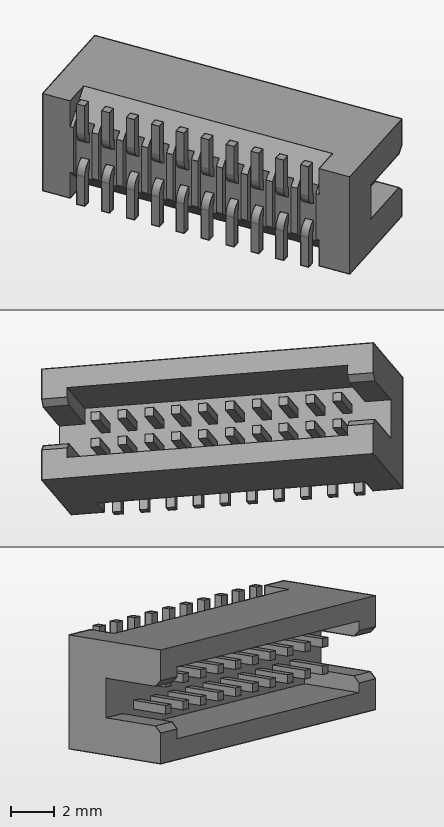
import cadquery as cq

HOUSING_LENGTH = 15.69
HOUSING_DEPTH = 5.4
HOUSING_HEIGHT = 5.33

PIN_COUNT = 10
PITCH = 1.27
PIN_ROW_SHIFT = -0.08
PIN_SIZE = 0.41
PIN_BEND_RADIUS = 0.7
PIN_FRONT_PROTRUSION = 0.2
PIN_TIP_SPAN = 5.5
PIN_REACH = 1.9

END_WALL = 1.21
CAVITY_WALL = 0.99

SLOT_HEIGHT = 1.85
SLOT_DEPTH = 3.22
SLOT_CHAMFER = 0.3

RECESS_LENGTH = PIN_COUNT * PITCH
RECESS_DEPTH = 1.4
RECESS_HEIGHT = 1.41

GROOVE_WIDTH = 0.94
GROOVE_DEPTH = 0.28

HALF_HEIGHT = HOUSING_HEIGHT / 2
SLOT_FLOOR_Y = HOUSING_DEPTH - SLOT_DEPTH
PIN_XS = [PIN_ROW_SHIFT + (i - (PIN_COUNT - 1) / 2) * PITCH for i in range(PIN_COUNT)]


def extrude_along_x(profile, length, center_x):
    """Extrude a closed YZ profile symmetrically about center_x."""
    return profile.extrude(length / 2, both=True).translate((center_x, 0, 0))


def mirrored_pair(shape):
    """The shape together with its mirror image across Z = 0."""
    return [shape, shape.mirror("XY")]


def housing_block():
    """Block with a slot through its length, chamfered where it opens at the back."""
    slot_half = SLOT_HEIGHT / 2
    mouth_half = slot_half + SLOT_CHAMFER
    chamfer_y = HOUSING_DEPTH - SLOT_CHAMFER
    profile = cq.Workplane("YZ").polyline([
        (0, -HALF_HEIGHT),
        (HOUSING_DEPTH, -HALF_HEIGHT),
        (HOUSING_DEPTH, -mouth_half),
        (chamfer_y, -slot_half),
        (SLOT_FLOOR_Y, -slot_half),
        (SLOT_FLOOR_Y, slot_half),
        (chamfer_y, slot_half),
        (HOUSING_DEPTH, mouth_half),
        (HOUSING_DEPTH, HALF_HEIGHT),
        (0, HALF_HEIGHT),
    ]).close()
    return extrude_along_x(profile, HOUSING_LENGTH, 0)


def mating_cavity():
    """Cutter that widens the slot between the two end walls."""
    return cq.Workplane("XY").box(
        HOUSING_LENGTH - 2 * END_WALL,
        SLOT_DEPTH,
        HOUSING_HEIGHT - 2 * CAVITY_WALL,
        centered=(True, False, True),
    ).translate((0, SLOT_FLOOR_Y, 0))


def recess_wedge():
    """Triangular cutter for the upper front edge."""
    profile = cq.Workplane("YZ").polyline([
        (0, HALF_HEIGHT - RECESS_HEIGHT),
        (RECESS_DEPTH, HALF_HEIGHT),
        (0, HALF_HEIGHT),
    ]).close()
    return extrude_along_x(profile, RECESS_LENGTH, PIN_ROW_SHIFT)


def groove(x):
    """Full-height cutter for the groove behind one column of pins."""
    return cq.Workplane("XY").box(
        GROOVE_WIDTH, GROOVE_DEPTH, HOUSING_HEIGHT, centered=(True, False, True)
    ).translate((x, 0, 0))


def upper_pin(x):
    """Square pin running forward out of the cavity and bending up into a tail."""
    front_y = -PIN_FRONT_PROTRUSION
    back_y = SLOT_FLOOR_Y + PIN_REACH
    bottom_z = (PITCH - PIN_SIZE) / 2
    top_z = bottom_z + PIN_SIZE
    tip_z = PIN_TIP_SPAN / 2
    bend_y = front_y + PIN_BEND_RADIUS
    bend_z = bottom_z + PIN_BEND_RADIUS
    inner_radius = PIN_BEND_RADIUS - PIN_SIZE
    profile = (
        cq.Workplane("YZ")
        .moveTo(back_y, bottom_z)
        .lineTo(bend_y, bottom_z)
        .radiusArc((front_y, bend_z), PIN_BEND_RADIUS)
        .lineTo(front_y, tip_z)
        .lineTo(front_y + PIN_SIZE, tip_z)
        .lineTo(front_y + PIN_SIZE, bend_z)
        .radiusArc((bend_y, top_z), -inner_radius)
        .lineTo(back_y, top_z)
        .close()
    )
    return extrude_along_x(profile, PIN_SIZE, x)


result = housing_block().cut(mating_cavity())
for wedge in mirrored_pair(recess_wedge()):
    result = result.cut(wedge)
for pin_x in PIN_XS:
    result = result.cut(groove(pin_x))
for pin_x in PIN_XS:
    for pin in mirrored_pair(upper_pin(pin_x)):
        result = result.union(pin)